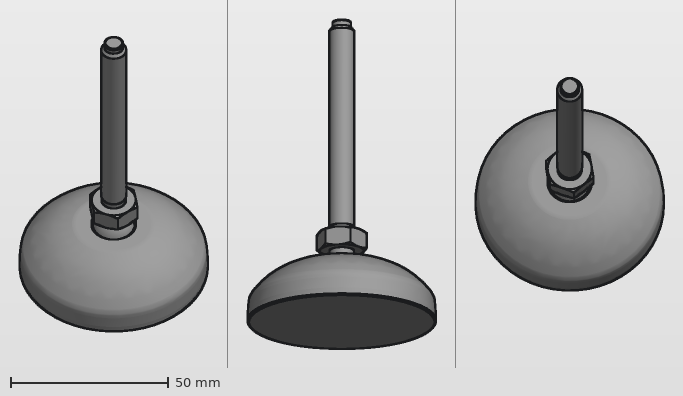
import cadquery as cq
import math

foot_radius = 60.0 / 2
bottom_chamfer = 0.5
pad_height = 2.4
wall_taper = 0.25
wall_top = 6.0
shoulder_height = 8.85
shoulder_round = 4.4
plate_top = 19.0
top_flat_radius = 12.0
crown_radius = 13.2
crown_drop = 0.15
crown_round = 6.0
dome_round = 27.0

ball_radius = 13.8 / 2
mouth_radius = 13.28 / 2
mouth_chamfer = 0.5
neck_bottom = 21.7

overall_height = 99.7
rod_radius = 8.0 / 2
neck_radius = 7.86 / 2
tip_radius = 6.0 / 2
tip_length = 1.9
tip_chamfer = 0.35
rod_chamfer_height = 1.25
shank_top = 31.6

ball_center = neck_bottom - math.sqrt(ball_radius**2 - neck_radius**2)

hex_bottom = 23.7
hex_height = 6.0
hex_across_flats = 14.0
hex_sides = 6
hex_half_sector = 180.0 / hex_sides
hex_chamfer_angle = 30.0


def make_foot_plate():
    """Domed foot plate, revolved about the spindle axis."""
    wall_radius = foot_radius - wall_taper
    rise = shoulder_height - wall_top
    shoulder_inset = shoulder_round - math.sqrt(shoulder_round**2 - rise**2)
    return (
        cq.Workplane("XZ")
        .lineTo(foot_radius - bottom_chamfer, 0)
        .lineTo(foot_radius, bottom_chamfer)
        .lineTo(foot_radius, pad_height)
        .lineTo(wall_radius, wall_top)
        .radiusArc((wall_radius - shoulder_inset, shoulder_height), -shoulder_round)
        .radiusArc((crown_radius, plate_top - crown_drop), -dome_round)
        .radiusArc((top_flat_radius, plate_top), -crown_round)
        .lineTo(0, plate_top)
        .close()
        .revolve(360, (0, 0, 0), (0, 1, 0))
    )


def make_socket_mouth():
    """Chamfered opening in the top of the plate, closing in on the ball."""
    return (
        cq.Workplane("XZ", origin=(0, 0, ball_center))
        .lineTo(mouth_radius, 0)
        .lineTo(mouth_radius, plate_top - mouth_chamfer - ball_center)
        .lineTo(mouth_radius + mouth_chamfer, plate_top - ball_center)
        .lineTo(0, plate_top - ball_center)
        .close()
        .revolve(360, (0, 0, 0), (0, 1, 0))
    )


def make_spindle():
    """Ball, neck, shank and threaded rod with a stepped tip."""
    ball = cq.Workplane("XY").sphere(ball_radius).translate((0, 0, ball_center))
    tip_bottom = overall_height - tip_length
    rod = (
        cq.Workplane("XZ")
        .moveTo(0, ball_center)
        .lineTo(neck_radius, ball_center)
        .lineTo(neck_radius, shank_top)
        .lineTo(rod_radius, shank_top)
        .lineTo(rod_radius, tip_bottom - rod_chamfer_height)
        .lineTo(tip_radius, tip_bottom)
        .lineTo(tip_radius, overall_height - tip_chamfer)
        .lineTo(tip_radius - tip_chamfer, overall_height)
        .lineTo(0, overall_height)
        .close()
        .revolve(360, (0, 0, 0), (0, 1, 0))
    )
    return ball.union(rod)


def make_hexagon():
    """Hexagon with corners on the Y axis, chamfered above and below."""
    corner_diameter = hex_across_flats / math.cos(math.radians(hex_half_sector))
    prism = (
        cq.Workplane("XY")
        .workplane(offset=hex_bottom)
        .polygon(hex_sides, corner_diameter)
        .extrude(hex_height)
        .rotate((0, 0, 0), (0, 0, 1), hex_half_sector)
    )
    face_radius = hex_across_flats / 2
    corner_radius = corner_diameter / 2
    drop = (corner_radius - face_radius) * math.tan(math.radians(hex_chamfer_angle))
    hex_top = hex_bottom + hex_height
    envelope = (
        cq.Workplane("XZ")
        .moveTo(0, hex_bottom)
        .lineTo(face_radius, hex_bottom)
        .lineTo(corner_radius, hex_bottom + drop)
        .lineTo(corner_radius, hex_top - drop)
        .lineTo(face_radius, hex_top)
        .lineTo(0, hex_top)
        .close()
        .revolve(360, (0, 0, 0), (0, 1, 0))
    )
    return prism.intersect(envelope)


result = (
    make_foot_plate()
    .cut(make_socket_mouth())
    .union(make_spindle())
    .union(make_hexagon())
)